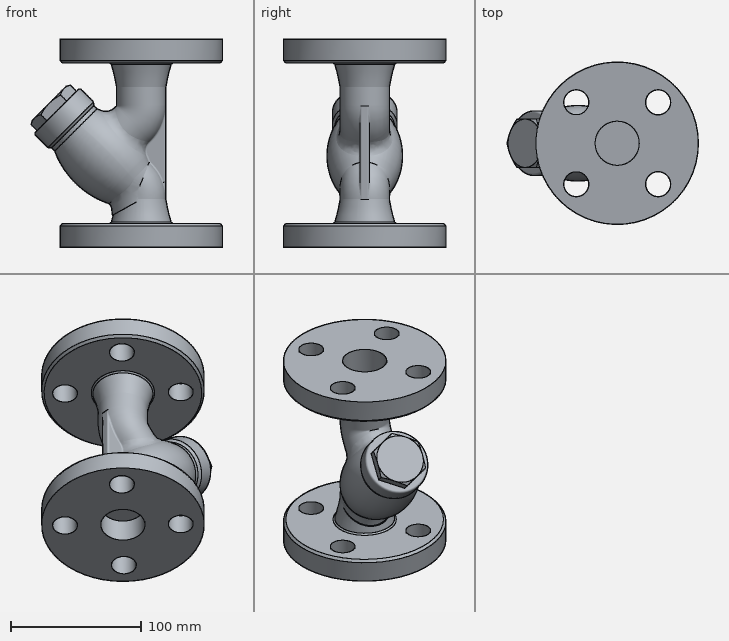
import cadquery as cq
import math

height = 160.0
flange_diameter = 125.0
flange_thickness = 18.4
flange_chamfer = 2.0
bolt_hole_diameter = 19.0
bolt_circle_diameter = 89.0
bolt_hole_count = 4
first_bolt_angle = 45.0
bore_diameter = 34.0
bore_depth = 20.5

pipe_radius = 38.0 / 2
neck_radius = 46.0 / 2
neck_top = 37.0
neck_hollow = 0.3
neck_root_height = 1.1
neck_root_width = 1.3
bend_angle = 45.0
bend_radius = 19.2
inlet_bend_height = 108.8
branch_length = 19.2

barrel_axis_height = 40.0
face_distance = 100.0
hex_sides = 6
hex_height = 8.3
hex_across_flats = 37.1
hex_chamfer_angle = 30.0
collar_radius = 50.0 / 2
collar_end = 23.4
collar_edge_round = 1.6
throat_radius = 46.0 / 2
throat_start = 25.6
barrel_start = 29.0
barrel_max_radius = 29.1
barrel_middle = 57.0
barrel_end = 89.5
barrel_curve_radius = 68.8

inlet_blend = 10.0
blend_start = 87.2
blend_waist_center = (-5.5, 43.2)
blend_waist_slope = 36.0
blend_waist_radii = (21.6, 19.5)
blend_foot_center = (-3.0, 35.2)
blend_foot_slope = 29.0
blend_foot_radii = (22.0, 19.0)
rib_thickness = 7.0
rib_edge_round = 1.5

tilt = math.radians(bend_angle)
bend_reach = bend_radius * (1 - math.cos(tilt))
bend_rise = bend_radius * math.sin(tilt)
face_center = (
    -face_distance * math.sin(tilt),
    0,
    barrel_axis_height + face_distance * math.cos(tilt),
)
barrel_plane = cq.Plane(origin=face_center, xDir=(1, 0, -1), normal=(0, -1, 0))
cap_plane = cq.Plane(origin=face_center, xDir=(1, 0, 1), normal=(1, 0, -1))


def flip(shape):
    """Mirror a part of the lower half into its counterpart at the top."""
    return shape.mirror("XY").translate((0, 0, height))


def flange():
    """Bottom flange: bolt holes through it and a chamfer on its inner rim."""
    return (
        cq.Workplane("XY")
        .circle(flange_diameter / 2)
        .extrude(flange_thickness)
        .faces(">Z")
        .chamfer(flange_chamfer)
        .faces("<Z")
        .workplane()
        .polarArray(bolt_circle_diameter / 2, first_bolt_angle, 360, bolt_hole_count)
        .hole(bolt_hole_diameter)
    )


def neck():
    """Concave taper from the flange to the pipe, with a small flare at its root."""
    root_top = flange_thickness + neck_root_height
    middle = ((neck_radius + pipe_radius) / 2 - neck_hollow, (root_top + neck_top) / 2)
    return (
        cq.Workplane("XZ")
        .moveTo(0, 0)
        .lineTo(neck_radius + neck_root_width, 0)
        .lineTo(neck_radius + neck_root_width, flange_thickness)
        .lineTo(neck_radius, root_top)
        .threePointArc(middle, (pipe_radius, neck_top))
        .lineTo(0, neck_top)
        .close()
        .revolve(360, (0, 0, 0), (0, 1, 0))
    )


def inlet_branch():
    """Pipe that runs down, bends toward the cap and carries on into the barrel side."""
    drop = (
        cq.Workplane("XY", origin=(0, 0, inlet_bend_height))
        .circle(pipe_radius)
        .extrude(height - flange_thickness - inlet_bend_height)
    )
    elbow = (
        cq.Workplane("XY", origin=(0, 0, inlet_bend_height))
        .circle(pipe_radius)
        .revolve(bend_angle, (-bend_radius, -1.6, 0), (-bend_radius, 1.6, 0))
    )
    branch_center = (-bend_reach, 0, inlet_bend_height - bend_rise)
    branch_plane = cq.Plane(origin=branch_center, xDir=(0, 1, 0), normal=(-1, 0, -1))
    branch = cq.Workplane(branch_plane).circle(pipe_radius).extrude(branch_length)
    return drop.union(elbow).union(branch)


def outlet_bend():
    """Pipe bend that rises from the lower neck into the end of the barrel."""
    elbow = (
        cq.Workplane("XY", origin=(0, 0, neck_top))
        .circle(pipe_radius)
        .revolve(bend_angle, (-bend_radius, 1.6, 0), (-bend_radius, -1.6, 0))
    )
    entry_center = (-bend_reach, 0, neck_top + bend_rise)
    entry_plane = cq.Plane(origin=entry_center, xDir=(0, 1, 0), normal=(-1, 0, 1))
    entry = cq.Workplane(entry_plane).circle(pipe_radius).extrude(branch_length)
    return elbow.union(entry)


def barrel_radius(position):
    """Radius of the bulging barrel at a distance from the cap face."""
    offset = position - barrel_middle
    return barrel_max_radius - barrel_curve_radius + math.sqrt(barrel_curve_radius**2 - offset**2)


def barrel():
    """Cap collar, throat and bulging barrel turned about the tilted axis."""
    return (
        cq.Workplane(barrel_plane)
        .moveTo(hex_height, 0)
        .lineTo(hex_height, collar_radius - collar_edge_round)
        .radiusArc((hex_height + collar_edge_round, collar_radius), collar_edge_round)
        .lineTo(collar_end, collar_radius)
        .lineTo(throat_start, throat_radius)
        .lineTo(barrel_start, throat_radius)
        .threePointArc((barrel_middle, barrel_max_radius), (barrel_end, barrel_radius(barrel_end)))
        .lineTo(barrel_end, 0)
        .close()
        .revolve(360, (0, 0, 0), (1, 0, 0))
    )


def blend_section(center, slope, radii):
    """Ellipse centred in the XZ plane, its long axis rising toward +X at the given slope."""
    slope = math.radians(slope)
    plane = cq.Plane(
        origin=(center[0], 0, center[1]),
        xDir=(math.cos(slope), 0, math.sin(slope)),
        normal=(-math.sin(slope), 0, math.cos(slope)),
    )
    return cq.Workplane(plane).ellipse(*radii).wires().val()


def outlet_blend():
    """Waisted transition from the lower end of the barrel to the lower neck."""
    start_center = (
        face_center[0] + blend_start * math.sin(tilt),
        face_center[2] - blend_start * math.cos(tilt),
    )
    start_radius = barrel_radius(blend_start)
    sections = [
        blend_section(start_center, bend_angle, (start_radius, start_radius)),
        blend_section(blend_waist_center, blend_waist_slope, blend_waist_radii),
        blend_section(blend_foot_center, blend_foot_slope, blend_foot_radii),
    ]
    return cq.Workplane(cq.Solid.makeLoft(sections))


def hex_head():
    """Hexagon with its flats facing Y; a cone trims the six outer corners."""
    corner_radius = hex_across_flats / 2 / math.cos(math.pi / hex_sides)
    prism = cq.Workplane(cap_plane).polygon(hex_sides, 2 * corner_radius).extrude(hex_height)
    cone_widening = hex_height / math.tan(math.radians(hex_chamfer_angle))
    trim_cone = (
        cq.Workplane(barrel_plane)
        .moveTo(0, 0)
        .lineTo(0, hex_across_flats / 2)
        .lineTo(hex_height, hex_across_flats / 2 + cone_widening)
        .lineTo(hex_height, 0)
        .close()
        .revolve(360, (0, 0, 0), (1, 0, 0))
    )
    return prism.intersect(trim_cone)


def rib():
    """Flat web that fills the gap between the two bends on the side away from the cap."""
    return (
        cq.Workplane("XY", origin=(pipe_radius / 2, 0, neck_top))
        .rect(pipe_radius, rib_thickness)
        .extrude(inlet_bend_height - neck_top)
        .edges("|Z and >X")
        .fillet(rib_edge_round)
    )


def bore():
    """Blind bore in the outer face of the bottom flange."""
    return cq.Workplane("XY").circle(bore_diameter / 2).extrude(bore_depth)


def blend_inlet(casting):
    """Round the seam where the inlet branch enters the side of the barrel."""
    seam_box = cq.selectors.BoxSelector(
        (-barrel_max_radius, -barrel_max_radius, height / 2),
        (0, barrel_max_radius, inlet_bend_height),
    )
    return casting.edges(seam_box).edges("%BSPLINE").fillet(inlet_blend)


def blend_rib(casting):
    """Round the seams between the flat sides of the rib and the two pipe bends."""
    seam_box = cq.selectors.BoxSelector(
        (0, -rib_thickness, neck_top),
        (pipe_radius - rib_edge_round, rib_thickness, inlet_bend_height),
    )
    return casting.edges(seam_box).edges("%CIRCLE").fillet(rib_edge_round)


casting = blend_inlet(barrel().union(inlet_branch()))
for part in (outlet_bend(), neck(), flip(neck()), rib(), outlet_blend()):
    casting = casting.union(part)
casting = blend_rib(casting)
result = (
    casting.union(hex_head())
    .union(flange())
    .union(flip(flange()))
    .cut(bore())
    .cut(flip(bore()))
)